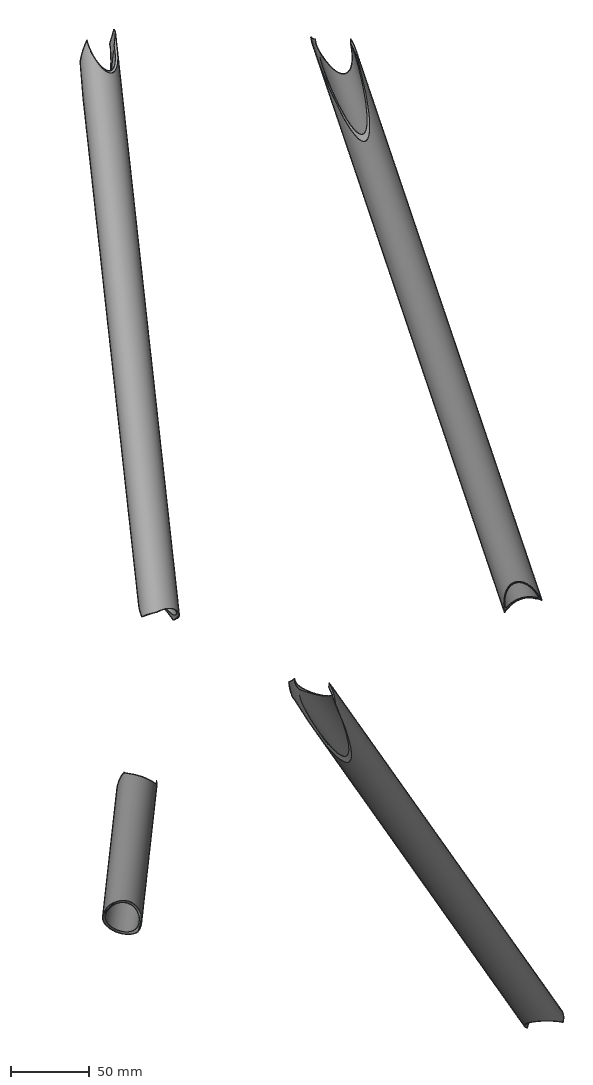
import cadquery as cq

tube_radius = 12.5
wall = 1.67
cutter_length = 628.5

centre_x = -3.0
centre_y = -0.5
slope_x = -0.732
slope_y = 0.221
upper_end_z = 158.0
lower_end_z = -152.5

upper_cross_point = cq.Vector(-116.3, 34.3, 157.8)
upper_cross_direction = cq.Vector(1, -0.05, -0.28)
upper_cross_radius = 11.0
lower_cross_point = cq.Vector(110, -35.2, -156.2)
lower_cross_direction = cq.Vector(1, 0.12, 0.01)
lower_cross_radius = 12.5
brace_point = cq.Vector(-116.5, 33.3, 154)
brace_direction = cq.Vector(0.28, -0.26, -1)
brace_radius = 12.3

horn_trim_point = cq.Vector(-108.5, 23.3, 155.5)
horn_trim_normal = cq.Vector(-0.91, -0.36, 0.15)
horn_trim_radius = 94.3


def centreline(z):
    """Point of the tube centreline at height z."""
    return cq.Vector(centre_x + slope_x * z, centre_y + slope_y * z, z)


def cylinder(start, direction, radius, length):
    """Solid round bar from a start point along a direction."""
    return cq.Workplane(cq.Solid.makeCylinder(radius, length, start, direction))


def coped(body, point, direction, radius):
    """Body with a saddle cut to seat against a tube passing through the point."""
    start = point - direction.normalized() * (cutter_length / 2)
    return body.cut(cylinder(start, direction, radius, cutter_length))


upper_end = centreline(upper_end_z)
axis = centreline(lower_end_z) - upper_end
tube = cylinder(upper_end, axis, tube_radius, axis.Length)
tube = tube.cut(cylinder(upper_end, axis, tube_radius - wall, axis.Length))

tube = coped(tube, upper_cross_point, upper_cross_direction, upper_cross_radius)
tube = coped(tube, lower_cross_point, lower_cross_direction, lower_cross_radius)
tube = coped(tube, brace_point, brace_direction, brace_radius)

tube = tube.cut(cylinder(horn_trim_point, horn_trim_normal, horn_trim_radius, cutter_length))

span = max(tube.solids().vals(), key=lambda solid: solid.Volume())
result = cq.Workplane(span)